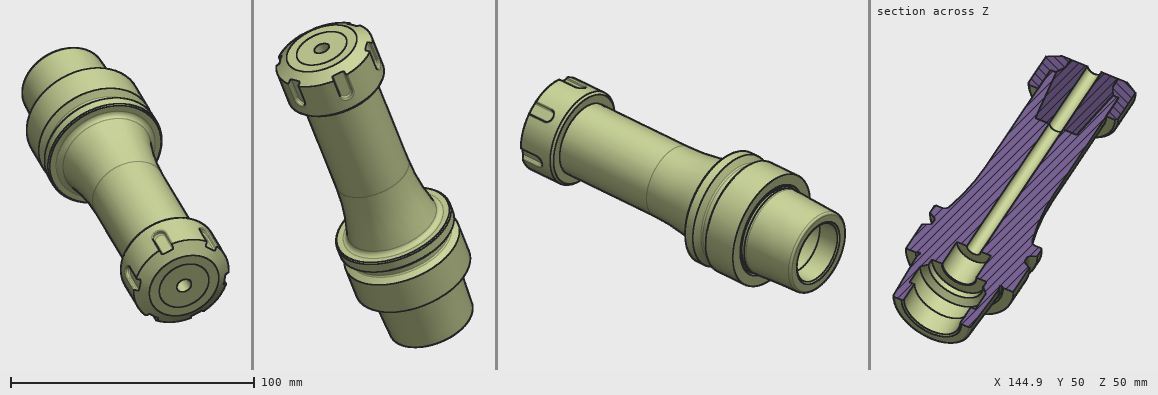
import cadquery as cq
import math

total_length = 144.9

taper_tip_radius = 18.1
taper_base_radius = 19.1
taper_base_x = 22.9
tip_round = 1.0
relief_start_x = 23.8

flange_diameter = 50.0
flange_radius = flange_diameter / 2
flange_face_x = 24.9
flange_back_x = 51.0
flange_back_chamfer = 0.6
groove_centre_x = 42.9
groove_floor_radius = 21.6
groove_floor_half_width = 1.5
groove_wall_angle = 30.0
groove_floor_fillet = 0.9

relief_outer_radius = 20.3
relief_floor_outer_radius = 19.4
relief_floor_inner_radius = 18.5
relief_depth = 0.6

body_radius = 16.0
flare_radius = 100.0
flare_end_x = 78.7
neck_fillet = 2.5

bore_radius = 13.0
bore_mouth_radius = 13.9
bore_mouth_chamfer = 0.6
bore_land_end_x = 10.0
undercut_radius = 15.2
undercut_end_x = 19.1
undercut_run_out = 2.6
inner_bore_radius = 12.6
bore_floor_x = 24.6
coolant_radius = 7.8
coolant_mouth_chamfer = 0.3
coolant_end_x = 37.7
passage_radius = 3.2

nut_radius = 20.9
nut_start_x = 124.9
nut_back_chamfer = 1.0
nut_cone_start_x = 141.5
nut_front_radius = 15.2

slot_count = 6
slot_first_angle = 10.5
slot_half_width = 2.8
slot_arc_centre_x = 133.5
slot_floor_radius = 18.8
slot_floor_fillet = 0.6
slot_mouth_fillet = 0.5
cutter_clearance = 1.5

nose_end_x = 136.2
collet_start_x = 110.8
collet_max_radius = 13.0
collet_angle = 8.0
collet_front_radius = 10.9
collet_lip_x = 140.0
collet_taper_length = nose_end_x - collet_start_x
collet_back_radius = collet_max_radius - collet_taper_length * math.tan(math.radians(collet_angle))


def spin(profile):
    """Close a half profile and revolve it about the X axis."""
    return profile.close().revolve(360, (0, 0, 0), (1, 0, 0))


def spin_points(points):
    """Revolve a straight-sided outline of (x, radius) points about the X axis."""
    return spin(cq.Workplane("XY").polyline(points))


def collet_envelope():
    """Outside of the collet without its bore: long rear taper, short front cone and nose."""
    return spin_points([
        (collet_start_x, 0),
        (collet_start_x, collet_back_radius),
        (nose_end_x, collet_max_radius),
        (collet_lip_x, collet_front_radius),
        (total_length, collet_front_radius),
        (total_length, 0),
    ])


def holder_blank():
    """Taper shank, flange, flared neck and straight body as one solid of revolution."""
    flare_centre_radius = body_radius + flare_radius
    fillet_x = flange_back_x + neck_fillet
    centre_gap = flare_radius - neck_fillet
    fillet_centre_radius = flare_centre_radius - math.sqrt(centre_gap**2 - (flare_end_x - fillet_x) ** 2)
    lean = math.asin((flare_end_x - fillet_x) / centre_gap)

    def on_flare(angle):
        """Point on the flare, at an angle from where it runs into the body."""
        x = flare_end_x - flare_radius * math.sin(angle)
        radius = flare_centre_radius - flare_radius * math.cos(angle)
        return (x, radius)

    fillet_mid_angle = (lean + math.pi / 2) / 2
    fillet_mid = (
        fillet_x - neck_fillet * math.sin(fillet_mid_angle),
        fillet_centre_radius - neck_fillet * math.cos(fillet_mid_angle),
    )
    return spin(
        cq.Workplane("XY")
        .moveTo(0, 0)
        .lineTo(0, taper_tip_radius - tip_round)
        .radiusArc((tip_round, taper_tip_radius), tip_round)
        .lineTo(taper_base_x, taper_base_radius)
        .lineTo(relief_start_x, taper_base_radius)
        .lineTo(flange_face_x + relief_depth, relief_floor_inner_radius)
        .lineTo(flange_face_x + relief_depth, relief_floor_outer_radius)
        .lineTo(flange_face_x, relief_outer_radius)
        .lineTo(flange_face_x, flange_radius)
        .lineTo(flange_back_x - flange_back_chamfer, flange_radius)
        .lineTo(flange_back_x, flange_radius - flange_back_chamfer)
        .lineTo(flange_back_x, fillet_centre_radius)
        .threePointArc(fillet_mid, on_flare(lean))
        .threePointArc(on_flare(lean / 2), (flare_end_x, body_radius))
        .lineTo(nose_end_x, body_radius)
        .lineTo(nose_end_x, 0)
    )


def flange_groove():
    """V groove cutter with rounded floor corners."""
    wall_run = (flange_radius - groove_floor_radius) * math.tan(math.radians(groove_wall_angle))
    top_half_width = groove_floor_half_width + wall_run
    cutter = spin_points([
        (groove_centre_x - top_half_width, flange_radius),
        (groove_centre_x - groove_floor_half_width, groove_floor_radius),
        (groove_centre_x + groove_floor_half_width, groove_floor_radius),
        (groove_centre_x + top_half_width, flange_radius),
    ])
    floor_corners = cq.selectors.RadiusNthSelector(0)
    return cutter.edges("%CIRCLE").edges(floor_corners).fillet(groove_floor_fillet)


def holder_hollow():
    """Shank bore with its undercut, the coolant tube seat and the passage to the collet."""
    return spin_points([
        (0, 0),
        (0, bore_mouth_radius),
        (bore_mouth_chamfer, bore_radius),
        (bore_land_end_x, bore_radius),
        (bore_land_end_x, undercut_radius),
        (undercut_end_x, undercut_radius),
        (undercut_end_x + undercut_run_out, inner_bore_radius),
        (bore_floor_x, inner_bore_radius),
        (bore_floor_x, coolant_radius + coolant_mouth_chamfer),
        (bore_floor_x + coolant_mouth_chamfer, coolant_radius),
        (coolant_end_x, coolant_radius),
        (coolant_end_x, passage_radius),
        (collet_start_x, passage_radius),
        (collet_start_x, 0),
    ])


def make_holder():
    """Holder: turned blank with its groove, hollow shank and collet socket."""
    return holder_blank().cut(flange_groove()).cut(holder_hollow()).cut(collet_envelope())


def slot_cutter(angle):
    """Round-ended slot, open toward the front, turned about X from the -Y side toward +Z."""
    cutter = (
        cq.Workplane("XZ", origin=(0, -slot_floor_radius, 0))
        .moveTo(total_length, -slot_half_width)
        .lineTo(slot_arc_centre_x, -slot_half_width)
        .threePointArc((slot_arc_centre_x - slot_half_width, 0), (slot_arc_centre_x, slot_half_width))
        .lineTo(total_length, slot_half_width)
        .close()
        .extrude(nut_radius - slot_floor_radius + cutter_clearance)
        .faces(">Y").edges("not(>X)").fillet(slot_floor_fillet)
    )
    return cutter.rotate((0, 0, 0), (1, 0, 0), -angle)


def round_slot_mouths(nut):
    """Round the edges where the slots break through the outer cylinder of the nut."""
    margin = 0.1
    reach = nut_radius + margin
    slot_zone = cq.selectors.BoxSelector(
        (slot_arc_centre_x - slot_half_width - margin, -reach, -reach),
        (nut_cone_start_x + margin, reach, reach),
        boundingbox=True,
    )
    outer_cylinder = nut.faces("%CYLINDER").faces(cq.selectors.AreaNthSelector(-1))
    return outer_cylinder.edges("not %CIRCLE").edges(slot_zone).fillet(slot_mouth_fillet)


def make_nut():
    """Nut: screwed over the holder nose, closed around the collet front and slotted outside."""
    nut = spin_points([
        (nut_start_x, body_radius),
        (nut_start_x, nut_radius - nut_back_chamfer),
        (nut_start_x + nut_back_chamfer, nut_radius),
        (nut_cone_start_x, nut_radius),
        (total_length, nut_front_radius),
        (total_length, 0),
        (nose_end_x, 0),
        (nose_end_x, body_radius),
    ]).cut(collet_envelope())
    for index in range(slot_count):
        nut = nut.cut(slot_cutter(slot_first_angle + index * 360 / slot_count))
    return round_slot_mouths(nut)


def make_collet():
    """Collet: its outside with a through bore matching the passage."""
    bore = cq.Workplane("YZ", origin=(collet_start_x, 0, 0)).circle(passage_radius)
    return collet_envelope().cut(bore.extrude(total_length - collet_start_x))


holder = make_holder()
nut = make_nut()
collet = make_collet()

result = cq.Compound.makeCompound([holder.val(), nut.val(), collet.val()])